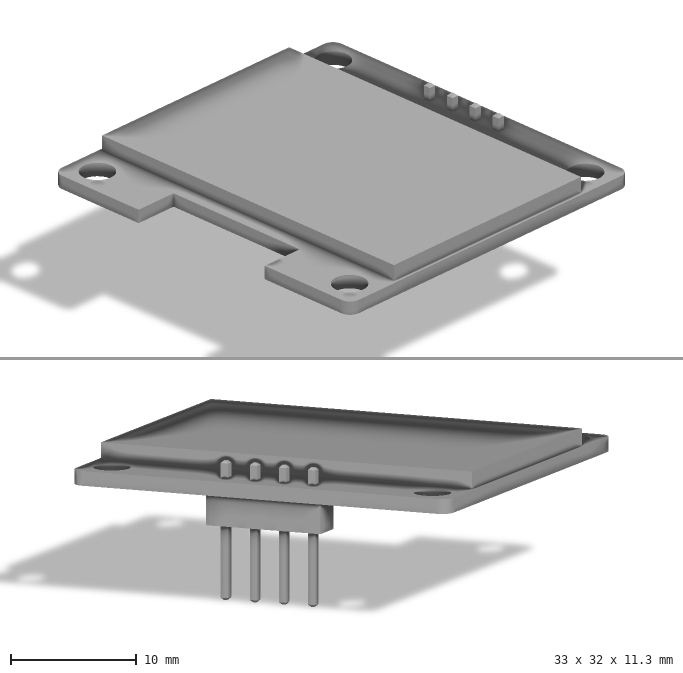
import cadquery as cq

BOARD_X = 33.0
BOARD_Y = 32.0
BOARD_THICKNESS = 1.2
CORNER_RADIUS = 1.0
NOTCH_WIDTH = 14.0
NOTCH_DEPTH = 4.0

HOLE_DIAMETER = 3.0
HOLE_INSET = 2.5
PAD_DIAMETER = 4.5
PAD_THICKNESS = 0.1

GLASS_X = 32.4
GLASS_Y = 21.4
GLASS_HEIGHT = 1.4
GLASS_CENTRE_Y = 0.0
SCREEN_X = 30.4
SCREEN_Y = 15.8
SCREEN_CENTRE_Y = 1.85
SCREEN_THICKNESS = 0.1

PIN_COUNT = 4
PIN_PITCH = 2.54
PIN_WIDTH = 0.64
PIN_LENGTH = 11.3
PIN_TIP_CHAMFER = 0.2
PIN_TOP_Z = GLASS_HEIGHT
HEADER_INSET = 2.0
HEADER_X = 10.0
HEADER_Y = PIN_PITCH
HEADER_HEIGHT = PIN_PITCH
HEADER_CENTRE_Y = BOARD_Y / 2 - HEADER_INSET

HOLE_SPACING_X = BOARD_X - 2 * HOLE_INSET
HOLE_SPACING_Y = BOARD_Y - 2 * HOLE_INSET


def block(size_x, size_y, height, centre_y, bottom_z):
    """Box centred on X = 0 and on centre_y, standing on bottom_z."""
    base = cq.Workplane("XY").workplane(offset=bottom_z).center(0, centre_y)
    return base.rect(size_x, size_y).extrude(height)


def corner_cylinders(diameter, bottom_z, height):
    """One cylinder at each mounting hole position."""
    base = cq.Workplane("XY").workplane(offset=bottom_z)
    positions = base.rect(HOLE_SPACING_X, HOLE_SPACING_Y, forConstruction=True).vertices()
    return positions.circle(diameter / 2).extrude(height)


def join(body, addition):
    """Fuse two bodies, keeping the outlines of faces that lie flush."""
    return body.union(addition, clean=False)


def make_board():
    """Rounded board with mounting pads, holes and an edge notch."""
    board = block(BOARD_X, BOARD_Y, BOARD_THICKNESS, 0, -BOARD_THICKNESS)
    board = board.edges("|Z").fillet(CORNER_RADIUS)
    notch = block(NOTCH_WIDTH, 2 * NOTCH_DEPTH, BOARD_THICKNESS, -BOARD_Y / 2, -BOARD_THICKNESS)
    pads = corner_cylinders(PAD_DIAMETER, -PAD_THICKNESS, PAD_THICKNESS)
    holes = corner_cylinders(HOLE_DIAMETER, -BOARD_THICKNESS, BOARD_THICKNESS)
    return join(board.cut(notch).cut(holes), pads.cut(holes))


def make_display():
    """Display glass with its flush active area, as high as the pin tips."""
    glass = block(GLASS_X, GLASS_Y, GLASS_HEIGHT, GLASS_CENTRE_Y, 0)
    screen_bottom = GLASS_HEIGHT - SCREEN_THICKNESS
    screen = block(SCREEN_X, SCREEN_Y, SCREEN_THICKNESS, SCREEN_CENTRE_Y, screen_bottom)
    return join(glass, screen)


def make_pin(x):
    """Square pin passing through header and board, chamfered at both ends."""
    pin = block(PIN_WIDTH, PIN_WIDTH, PIN_LENGTH, HEADER_CENTRE_Y, PIN_TOP_Z - PIN_LENGTH)
    return pin.faces("<Z or >Z").edges().chamfer(PIN_TIP_CHAMFER).translate((x, 0, 0))


def make_header():
    """Header body hanging below the board, with a row of pins along X."""
    header_bottom = -BOARD_THICKNESS - HEADER_HEIGHT
    header = block(HEADER_X, HEADER_Y, HEADER_HEIGHT, HEADER_CENTRE_Y, header_bottom)
    for index in range(PIN_COUNT):
        header = header.union(make_pin((index - (PIN_COUNT - 1) / 2) * PIN_PITCH))
    return header


result = join(join(make_board(), make_display()), make_header()).solids()